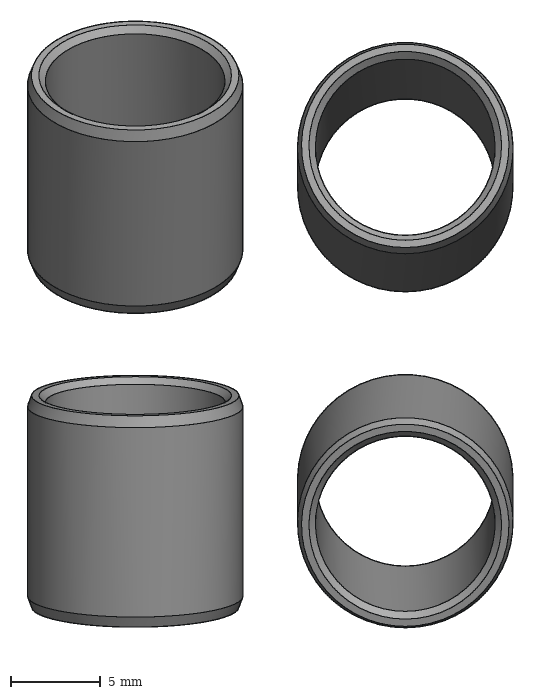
import cadquery as cq

outer_diameter = 12.0
length = 12.0
bore_diameter = 10.0

outer_chamfer_height = 0.62
outer_chamfer_width = 0.23

bore_chamfer = 0.36

outer_radius = outer_diameter / 2
bore_radius = bore_diameter / 2
half_length = length / 2

wall_profile = [
    (bore_radius, -half_length + bore_chamfer),
    (bore_radius + bore_chamfer, -half_length),
    (outer_radius - outer_chamfer_width, -half_length),
    (outer_radius, -half_length + outer_chamfer_height),
    (outer_radius, half_length - outer_chamfer_height),
    (outer_radius - outer_chamfer_width, half_length),
    (bore_radius + bore_chamfer, half_length),
    (bore_radius, half_length - bore_chamfer),
]

result = cq.Workplane("XZ").polyline(wall_profile).close().revolve(360, (0, 0), (0, 1))